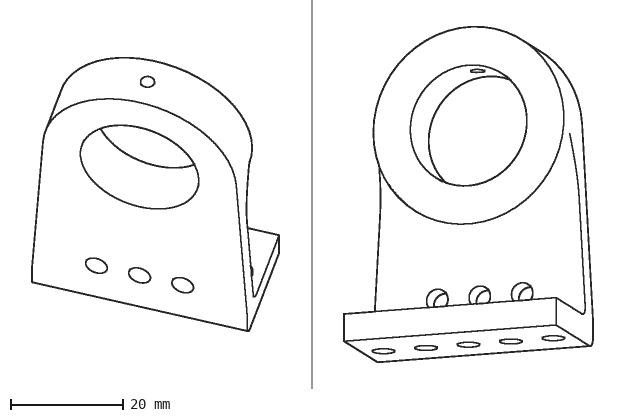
import cadquery as cq
import math

width = 40.0
depth = 20.0
height = 58.0
base_thickness = 5.0
plate_thickness = 4.0
bend_radius = 2.0

ring_radius = 18.0
ring_depth = 10.0
bore_diameter = 22.0
ring_z = height - ring_radius
flare_radius = 5.0
flare_start_y = plate_thickness + flare_radius
oil_hole_diameter = 2.5
oil_hole_y = ring_depth / 2

mount_hole_diameter = 4.0
mount_hole_pitch = 8.0
plate_hole_count = 3
plate_hole_z = 10.0
base_hole_count = 5
base_hole_y = depth / 2


def make_angle_section():
    """L-shaped base and upright plate with rounded bends, full width."""
    angle = (
        cq.Workplane("YZ")
        .polyline([
            (0, 0),
            (depth, 0),
            (depth, base_thickness),
            (plate_thickness, base_thickness),
            (plate_thickness, height),
            (0, height),
        ])
        .close()
        .extrude(width / 2, both=True)
    )
    outer_bend = cq.selectors.NearestToPointSelector((0, 0, 0))
    inner_bend = cq.selectors.NearestToPointSelector((0, plate_thickness, base_thickness))
    angle = angle.edges("|X").edges(outer_bend).fillet(bend_radius)
    return angle.edges("|X").edges(inner_bend).fillet(bend_radius)


def make_flare():
    """Solid of revolution about the bore axis, widening concavely into the plate."""
    flare_outer = ring_radius + flare_radius
    flare_mid = (
        flare_outer - flare_radius * math.sqrt(0.5),
        flare_start_y - flare_radius * math.sqrt(0.5),
    )
    return (
        cq.Workplane("XY")
        .lineTo(flare_outer, 0)
        .lineTo(flare_outer, plate_thickness)
        .threePointArc(flare_mid, (ring_radius, flare_start_y))
        .lineTo(0, flare_start_y)
        .close()
        .revolve(360, (0, 0, 0), (0, 1, 0))
        .translate((0, 0, ring_z))
    )


def make_skirt():
    """Prism below the ring: sides lean in from the base top to touch the ring tangentially."""
    half_width = width / 2
    rise = ring_z - base_thickness
    corner_distance = math.hypot(half_width, rise)
    tangent_angle = math.acos(ring_radius / corner_distance) - math.atan2(rise, half_width)
    tangent_x = ring_radius * math.cos(tangent_angle)
    tangent_z = ring_z + ring_radius * math.sin(tangent_angle)
    return (
        cq.Workplane("XZ")
        .polyline([
            (-half_width, 0),
            (half_width, 0),
            (half_width, base_thickness),
            (tangent_x, tangent_z),
            (0, ring_z),
            (-tangent_x, tangent_z),
            (-half_width, base_thickness),
        ])
        .close()
        .extrude(-depth)
    )


def hole_row(plane, count, offset, length):
    """Row of mounting hole cutters centred on x = 0 at the given offset."""
    return (
        cq.Workplane(plane)
        .center(0, offset)
        .rarray(mount_hole_pitch, 0.6, count, 1)
        .circle(mount_hole_diameter / 2)
        .extrude(length)
    )


skirt = make_skirt()
ring = cq.Workplane("XZ").center(0, ring_z).circle(ring_radius).extrude(-ring_depth)
body = make_angle_section().intersect(skirt).union(make_flare().intersect(skirt)).union(ring)

bore = cq.Workplane("XZ").center(0, ring_z).circle(bore_diameter / 2).extrude(-depth)

oil_hole = (
    cq.Workplane("XY", origin=(0, oil_hole_y, ring_z))
    .circle(oil_hole_diameter / 2)
    .extrude(ring_radius)
)

plate_holes = hole_row("XZ", plate_hole_count, plate_hole_z, -plate_thickness)
base_holes = hole_row("XY", base_hole_count, base_hole_y, base_thickness)

result = body.cut(bore).cut(oil_hole).cut(plate_holes).cut(base_holes)